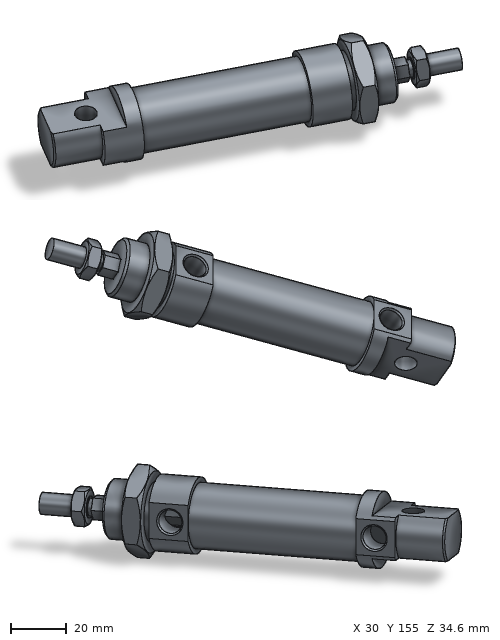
import cadquery as cq
import math


LENGTH = 155.0
TANG_LENGTH = 18.1
CAP_LENGTH = 14.7
TUBE_LENGTH = 63.2
TANG_SHOULDER_Y = 27.0
COLLAR_LENGTH = 18.3
MOUNTING_NUT_GAP = 2.3
ROD_HEX_LENGTH = 6.0
ROD_NECK_LENGTH = 1.7

REAR_CAP_END_Y = TANG_LENGTH + CAP_LENGTH
FRONT_CAP_Y = REAR_CAP_END_Y + TUBE_LENGTH
FRONT_CAP_END_Y = FRONT_CAP_Y + CAP_LENGTH
MOUNTING_NUT_Y = FRONT_CAP_END_Y + MOUNTING_NUT_GAP
COLLAR_END_Y = FRONT_CAP_END_Y + COLLAR_LENGTH
ROD_HEX_END_Y = COLLAR_END_Y + ROD_HEX_LENGTH
ROD_THREAD_Y = ROD_HEX_END_Y + ROD_NECK_LENGTH

CAP_DIAMETER = 27.9
TUBE_DIAMETER = 24.0
COLLAR_DIAMETER = 22.0
COLLAR_CHAMFER = 1.0
TANG_CHAMFER_RADIAL = 1.0
TANG_CHAMFER_AXIAL = 0.55
TANG_THICKNESS = 16.0
PIN_HOLE_DIAMETER = 8.0
PIN_HOLE_Y = 15.0

PORT_FLAT_X = -12.2
PORT_DIAMETER = 8.7
PORT_DEPTH = 9.6
PORT_CHAMFER = 0.6
PORT_SPACING = 77.0
TUBE_MIDDLE_Y = REAR_CAP_END_Y + TUBE_LENGTH / 2
PORT_STATIONS = [TUBE_MIDDLE_Y - PORT_SPACING / 2, TUBE_MIDDLE_Y + PORT_SPACING / 2]

ROD_HEX_FLATS = 8.0
ROD_THREAD_DIAMETER = 8.0
ROD_NECK_DIAMETER = 6.5

MOUNTING_NUT_FLATS = 30.0
MOUNTING_NUT_THICKNESS = 7.3
MOUNTING_NUT_FACE_DIAMETER = 29.8
ROD_NUT_FLATS = 13.0
ROD_NUT_THICKNESS = 5.1
ROD_NUT_FACE_DIAMETER = 12.4
ROD_NUT_Y = 137.2
NUT_CHAMFER_ANGLE = 30.0


def section_plane(y):
    """Workplane across the axis at y, with local x along X and local y along Z."""
    return cq.Workplane("XZ", origin=(0, y, 0))


def cylinder(diameter, y_start, y_end):
    return section_plane(y_start).circle(diameter / 2).extrude(y_start - y_end)


def hexagon_bar(across_flats, y_start, y_end):
    """Hexagonal bar along Y with corners on the +X and -X sides."""
    across_corners = across_flats / math.cos(math.pi / 6)
    return section_plane(y_start).polygon(6, across_corners).extrude(y_start - y_end)


def turned(profile):
    """Solid of revolution about Y from (radius, y) points."""
    return cq.Workplane("XY").polyline(profile).close().revolve(360, (0, 0, 0), (0, 1, 0))


def hex_nut(across_flats, face_diameter, bore_diameter, y_start, thickness):
    """Nut with both faces chamfered by cones that start at the face diameter."""
    y_end = y_start + thickness
    corner_radius = across_flats / 2 / math.cos(math.pi / 6)
    face_radius = face_diameter / 2
    chamfer = (corner_radius - face_radius) * math.tan(math.radians(NUT_CHAMFER_ANGLE))
    envelope = turned([
        (0, y_start),
        (face_radius, y_start),
        (corner_radius, y_start + chamfer),
        (corner_radius, y_end - chamfer),
        (face_radius, y_end),
        (0, y_end),
    ])
    blank = hexagon_bar(across_flats, y_start, y_end).intersect(envelope)
    return blank.cut(cylinder(bore_diameter, y_start, y_end))


def end_cap(y_start):
    """Round cap with a flat for the air port on its -X side."""
    beyond_flat = cq.Workplane("XY").box(
        CAP_DIAMETER, CAP_LENGTH, CAP_DIAMETER, centered=(True, False, True)
    ).translate((PORT_FLAT_X - CAP_DIAMETER / 2, y_start, 0))
    return cylinder(CAP_DIAMETER, y_start, y_start + CAP_LENGTH).cut(beyond_flat)


def mounting_tang():
    """Chamfered shank behind the rear cap."""
    radius = COLLAR_DIAMETER / 2
    return turned([
        (0, 0),
        (radius - TANG_CHAMFER_RADIAL, 0),
        (radius, TANG_CHAMFER_AXIAL),
        (radius, TANG_LENGTH),
        (0, TANG_LENGTH),
    ])


def tang_flat_cutters():
    """Blocks above and below the tang, up to the shoulder in the rear cap."""
    offset = (TANG_THICKNESS + CAP_DIAMETER) / 2
    block = cq.Workplane("XY").box(
        2 * CAP_DIAMETER, TANG_SHOULDER_Y, CAP_DIAMETER, centered=(True, False, True)
    )
    return [block.translate((0, 0, side * offset)) for side in (1, -1)]


def threaded_collar():
    collar = cylinder(COLLAR_DIAMETER, FRONT_CAP_END_Y, COLLAR_END_Y)
    return collar.faces(">Y").chamfer(COLLAR_CHAMFER)


def air_port(y):
    """Cutter for a port bore with a chamfered mouth."""
    bore_radius = PORT_DIAMETER / 2
    mouth_radius = bore_radius + PORT_CHAMFER
    flat_plane = cq.Workplane("YZ", origin=(PORT_FLAT_X, y, 0))
    bore = flat_plane.circle(bore_radius).extrude(PORT_DEPTH)
    mouth = cq.Solid.makeCone(
        mouth_radius, bore_radius, PORT_CHAMFER, pnt=cq.Vector(PORT_FLAT_X, y, 0), dir=cq.Vector(1, 0, 0)
    )
    return bore.union(cq.Workplane(obj=mouth))


def make_housing():
    rear = end_cap(TANG_LENGTH).union(mounting_tang())
    for cutter in tang_flat_cutters():
        rear = rear.cut(cutter)

    tube = cylinder(TUBE_DIAMETER, REAR_CAP_END_Y, FRONT_CAP_Y)
    body = rear.union(tube).union(end_cap(FRONT_CAP_Y)).union(threaded_collar())

    pin_hole = cq.Workplane("XY").center(0, PIN_HOLE_Y).circle(PIN_HOLE_DIAMETER / 2)
    body = body.cut(pin_hole.extrude(TANG_THICKNESS, both=True))
    body = body.cut(hexagon_bar(ROD_HEX_FLATS, FRONT_CAP_Y, COLLAR_END_Y))
    for y in PORT_STATIONS:
        body = body.cut(air_port(y))
    return body


def make_piston_rod():
    """Hexagonal rod guided in the front cap, with a neck and a threaded end."""
    rod = hexagon_bar(ROD_HEX_FLATS, FRONT_CAP_Y, ROD_HEX_END_Y)
    rod = rod.union(cylinder(ROD_NECK_DIAMETER, ROD_HEX_END_Y, ROD_THREAD_Y))
    return rod.union(cylinder(ROD_THREAD_DIAMETER, ROD_THREAD_Y, LENGTH))


def make_mounting_nut():
    """Large nut on the collar, turned so that its corners point up and down."""
    nut = hex_nut(
        MOUNTING_NUT_FLATS,
        MOUNTING_NUT_FACE_DIAMETER,
        COLLAR_DIAMETER,
        MOUNTING_NUT_Y,
        MOUNTING_NUT_THICKNESS,
    )
    return nut.rotate((0, 0, 0), (0, 1, 0), 90)


def make_rod_nut():
    """Small lock nut on the threaded rod end."""
    return hex_nut(
        ROD_NUT_FLATS, ROD_NUT_FACE_DIAMETER, ROD_THREAD_DIAMETER, ROD_NUT_Y, ROD_NUT_THICKNESS
    )


housing = make_housing()
piston_rod = make_piston_rod()
mounting_nut = make_mounting_nut()
rod_nut = make_rod_nut()

result = cq.Compound.makeCompound(
    [housing.val(), piston_rod.val(), mounting_nut.val(), rod_nut.val()]
)